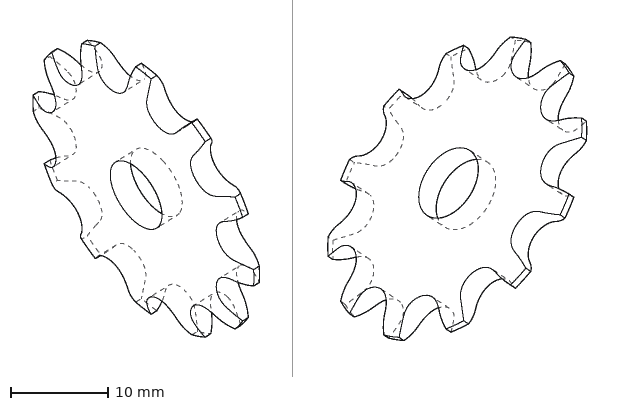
import cadquery as cq
import math

tooth_count = 12
outer_radius = 17.1
thickness = 2.8
bore_diameter = 8.0

tip_width = 0.8
side_relief_radius = 8.0

chain_pitch = 8.0
seat_radius = 2.53
seat_half_angle = 75.0
flank_radius = 8.4
flank_sweep = 25.0

pitch_angle = 360.0 / tooth_count
pitch_radius = chain_pitch / 2 / math.sin(math.radians(pitch_angle / 2))


def polar(center, radius, degrees):
    """Point at a given radius and angle from a center."""
    angle = math.radians(degrees)
    return (center[0] + radius * math.cos(angle), center[1] + radius * math.sin(angle))


def mirrored(point):
    """Same point on the other side of the gap centreline."""
    return (point[0], -point[1])


def make_blank():
    """Disc with curved tooth sides, tangent to the flat faces."""
    half = thickness / 2
    half_tip = tip_width / 2
    arc_center_y = half - side_relief_radius
    tip_angle = math.degrees(math.asin((half_tip - arc_center_y) / side_relief_radius))
    face_radius = outer_radius - side_relief_radius * math.cos(math.radians(tip_angle))
    arc_middle = polar((face_radius, arc_center_y), side_relief_radius, (90 + tip_angle) / 2)
    bore_radius = bore_diameter / 2
    return (
        cq.Workplane("XY")
        .moveTo(bore_radius, -half)
        .lineTo(face_radius, -half)
        .threePointArc(mirrored(arc_middle), (outer_radius, -half_tip))
        .lineTo(outer_radius, half_tip)
        .threePointArc(arc_middle, (face_radius, half))
        .lineTo(bore_radius, half)
        .close()
        .revolve(360, (0, 0, 0), (0, 1, 0))
    )


def make_gap():
    """Cutter for one tooth gap, pointing along +X."""
    seat_center = (pitch_radius, 0)
    seat_bottom = (pitch_radius - seat_radius, 0)
    seat_end = polar(seat_center, seat_radius, 180 - seat_half_angle)
    flank_center = polar(seat_center, seat_radius + flank_radius, 180 - seat_half_angle)
    flank_middle = polar(flank_center, flank_radius, flank_sweep / 2 - seat_half_angle)
    flank_end = polar(flank_center, flank_radius, flank_sweep - seat_half_angle)
    return (
        cq.Workplane("XZ")
        .moveTo(*flank_end)
        .threePointArc(flank_middle, seat_end)
        .threePointArc(seat_bottom, mirrored(seat_end))
        .threePointArc(mirrored(flank_middle), mirrored(flank_end))
        .close()
        .extrude(thickness, both=True)
    )


result = make_blank()
gap = make_gap()
for index in range(tooth_count):
    gap_angle = (index + 0.5) * pitch_angle
    result = result.cut(gap.rotate((0, 0, 0), (0, 1, 0), gap_angle))